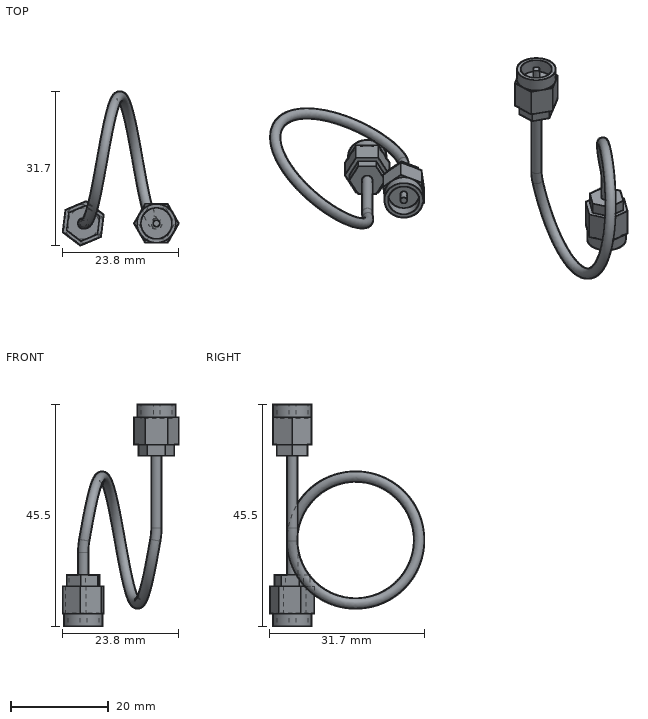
import cadquery as cq
import math

total_height = 45.45
axis_spacing = 15.0

collar_length = 2.6
nut_length = 5.65
neck_length = 2.3
connector_length = collar_length + nut_length + neck_length
nut_across_flats = 7.95
neck_across_flats = 6.35
collar_diameter = nut_across_flats
bore_diameter = 6.35
bore_depth = 2.8
pin_diameter = 1.35
lower_turn = 22.9

cable_diameter = 2.2
coil_radius = 13.0
coil_height = 17.7
bend_height = 2.5

coil_pitch = axis_spacing
for _ in range(10):
    helix_angle = math.atan(coil_pitch / (2 * math.pi * coil_radius))
    bend_shift = bend_height * math.tan(helix_angle / 2)
    coil_pitch = axis_spacing - 2 * bend_shift
bend_radius = bend_height / math.sin(helix_angle)

lower_x = -axis_spacing / 2
upper_x = axis_spacing / 2


def hex_bar(across_flats, length):
    """Hexagonal prism with two corners on the X axis."""
    across_corners = across_flats / math.cos(math.radians(30))
    return cq.Workplane("XY").polygon(6, across_corners).extrude(length)


def make_connector():
    """Connector with its open end at z = 0 and its cable end above."""
    collar = cq.Workplane("XY").circle(collar_diameter / 2).extrude(collar_length)
    nut = hex_bar(nut_across_flats, nut_length).translate((0, 0, collar_length))
    neck = hex_bar(neck_across_flats, neck_length).translate((0, 0, collar_length + nut_length))
    recess = (
        cq.Workplane("XY")
        .circle(bore_diameter / 2)
        .circle(pin_diameter / 2)
        .extrude(bore_depth)
    )
    return collar.union(nut).union(neck).cut(recess)


def straight_cable(x, bottom, top):
    """Vertical length of cable."""
    return (
        cq.Workplane("XY", origin=(x, 0, bottom))
        .circle(cable_diameter / 2)
        .extrude(top - bottom)
    )


def lower_bend():
    """Bend from the lower straight up to the start of the coil."""
    angle = math.degrees(helix_angle)
    return (
        cq.Workplane("XY", origin=(lower_x, 0, coil_height - bend_height))
        .circle(cable_diameter / 2)
        .revolve(angle, (bend_radius, 0), (bend_radius, 1))
    )


def coil():
    """One left-handed turn, starting and ending at y = 0."""
    start_x = lower_x + bend_shift
    coil_plane = cq.Plane(
        origin=(start_x, coil_radius, coil_height), xDir=(0, -1, 0), normal=(1, 0, 0)
    )
    path = cq.Wire.makeHelix(coil_pitch, coil_pitch, coil_radius, lefthand=True)
    path = path.moved(coil_plane.location)
    start_plane = cq.Plane(
        origin=(start_x, 0, coil_height),
        xDir=(0, 1, 0),
        normal=(math.sin(helix_angle), 0, math.cos(helix_angle)),
    )
    return cq.Workplane(start_plane).circle(cable_diameter / 2).sweep(path, isFrenet=True)


def make_cable():
    """Complete cable between the two connector necks."""
    bend = lower_bend()
    upper_bend = bend.rotate((0, 0, coil_height), (0, 1, coil_height), 180)
    lower_straight = straight_cable(lower_x, connector_length, coil_height - bend_height)
    upper_straight = straight_cable(
        upper_x, coil_height + bend_height, total_height - connector_length
    )
    return lower_straight.union(bend).union(coil()).union(upper_bend).union(upper_straight)


lower_connector = (
    make_connector()
    .rotate((0, 0, 0), (0, 0, 1), lower_turn)
    .translate((lower_x, 0, 0))
)
upper_connector = (
    make_connector()
    .rotate((0, 0, 0), (1, 0, 0), 180)
    .translate((upper_x, 0, total_height))
)
connectors = [lower_connector, upper_connector]
cable = make_cable()

result = cq.Compound.makeCompound(
    [cable.solids().val(), *[connector.solids().val() for connector in connectors]]
)